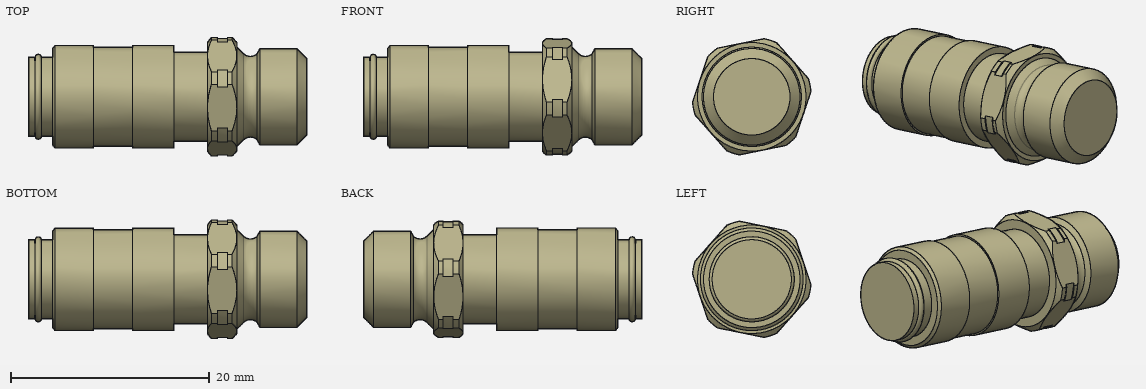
import cadquery as cq
import math


LENGTH = 28.05
TUBE_DIAMETER = 8.0
RING_GROOVE_DIAMETER = 7.3
RING_GROOVE_START = 0.65
RING_GROOVE_WIDTH = 0.67
RING_SECTION_DIAMETER = 0.65

SLEEVE_START = 2.4
SLEEVE_END = 14.65
SLEEVE_DIAMETER = 10.35
SLEEVE_FACE_DIAMETER = 9.73
SLEEVE_CHAMFER_LENGTH = 0.25
BAND_DIAMETER = 10.0
BAND_START = 6.54
BAND_END = 10.5

SHANK_DIAMETER = 9.0

HEX_START = 18.0
HEX_WIDTH = 3.0
HEX_END = HEX_START + HEX_WIDTH
HEX_ACROSS_FLATS = 11.0
HEX_CORNER_DIAMETER = 12.0
HEX_FACE_DIAMETER = 10.95
HEX_FRONT_CHAMFER = 0.42
HEX_REAR_CHAMFER = 0.5
HEX_TURN = -18.5
HEX_GROOVE_START = 19.02
HEX_GROOVE_WIDTH = 1.0
HEX_GROOVE_DIAMETER = 11.78

NECK_DIAMETER = 8.15
NECK_ARC_RADIUS = 1.0
NECK_BOTTOM = 22.35
NECK_CONE_ANGLE = math.radians(45)
NECK_ARC_END = 23.0

PLUG_DIAMETER = 9.73
PLUG_START = 23.3
PLUG_CHAMFER = 1.0


def cylinder(diameter, start, end):
    """Solid cylinder along +X between two X positions."""
    return cq.Workplane("YZ", origin=(start, 0, 0)).circle(diameter / 2).extrude(end - start)


def revolve_about_x(outline):
    """Turn a closed outline drawn in the XY plane about the X axis."""
    return outline.close().revolve(360, (0, 0, 0), (1, 0, 0))


def make_front_tube():
    """Tube and shank ahead of the hexagon, with the ring groove."""
    tube = cylinder(TUBE_DIAMETER, 0, SLEEVE_END)
    groove_end = RING_GROOVE_START + RING_GROOVE_WIDTH
    groove = cylinder(TUBE_DIAMETER, RING_GROOVE_START, groove_end).cut(
        cylinder(RING_GROOVE_DIAMETER, RING_GROOVE_START, groove_end)
    )
    shank = cylinder(SHANK_DIAMETER, SLEEVE_END, HEX_START)
    return tube.cut(groove).union(shank)


def make_hexagon():
    """Hexagon with turned corners, coned ends and a shallow groove round its corners."""
    prism = (
        cq.Workplane("YZ", origin=(HEX_START, 0, 0))
        .polygon(6, HEX_ACROSS_FLATS, circumscribed=True)
        .extrude(HEX_WIDTH)
        .rotate((0, 0, 0), (1, 0, 0), HEX_TURN)
    )
    face_radius = HEX_FACE_DIAMETER / 2
    corner_radius = HEX_CORNER_DIAMETER / 2
    groove_radius = HEX_GROOVE_DIAMETER / 2
    groove_end = HEX_GROOVE_START + HEX_GROOVE_WIDTH
    turned_blank = revolve_about_x(
        cq.Workplane("XY")
        .moveTo(HEX_START, 0)
        .lineTo(HEX_START, face_radius)
        .lineTo(HEX_START + HEX_FRONT_CHAMFER, corner_radius)
        .lineTo(HEX_GROOVE_START, corner_radius)
        .lineTo(HEX_GROOVE_START, groove_radius)
        .lineTo(groove_end, groove_radius)
        .lineTo(groove_end, corner_radius)
        .lineTo(HEX_END - HEX_REAR_CHAMFER, corner_radius)
        .lineTo(HEX_END, face_radius)
        .lineTo(HEX_END, 0)
    )
    return prism.intersect(turned_blank)


def make_rear_plug():
    """Rounded neck and chamfered plug behind the hexagon."""
    plug_radius = PLUG_DIAMETER / 2
    arc_centre_radius = NECK_DIAMETER / 2 + NECK_ARC_RADIUS
    arc_start_x = NECK_BOTTOM - NECK_ARC_RADIUS * math.sin(NECK_CONE_ANGLE)
    arc_start_radius = arc_centre_radius - NECK_ARC_RADIUS * math.cos(NECK_CONE_ANGLE)
    arc_end_radius = arc_centre_radius - math.sqrt(NECK_ARC_RADIUS**2 - (NECK_ARC_END - NECK_BOTTOM) ** 2)
    cone_rise = (arc_start_x - HEX_END) * math.tan(NECK_CONE_ANGLE)
    return revolve_about_x(
        cq.Workplane("XY")
        .moveTo(HEX_END, 0)
        .lineTo(HEX_END, arc_start_radius + cone_rise)
        .lineTo(arc_start_x, arc_start_radius)
        .threePointArc((NECK_BOTTOM, NECK_DIAMETER / 2), (NECK_ARC_END, arc_end_radius))
        .lineTo(PLUG_START, plug_radius)
        .lineTo(LENGTH - PLUG_CHAMFER, plug_radius)
        .lineTo(LENGTH, plug_radius - PLUG_CHAMFER)
        .lineTo(LENGTH, 0)
    )


def make_body():
    return make_front_tube().union(make_hexagon()).union(make_rear_plug())


def make_sleeve():
    """Sleeve bored to fit the tube, with a chamfered front and a shallow band round its middle."""
    bore_radius = TUBE_DIAMETER / 2
    outer_radius = SLEEVE_DIAMETER / 2
    band_radius = BAND_DIAMETER / 2
    return revolve_about_x(
        cq.Workplane("XY")
        .moveTo(SLEEVE_START, bore_radius)
        .lineTo(SLEEVE_START, SLEEVE_FACE_DIAMETER / 2)
        .lineTo(SLEEVE_START + SLEEVE_CHAMFER_LENGTH, outer_radius)
        .lineTo(BAND_START, outer_radius)
        .lineTo(BAND_START, band_radius)
        .lineTo(BAND_END, band_radius)
        .lineTo(BAND_END, outer_radius)
        .lineTo(SLEEVE_END, outer_radius)
        .lineTo(SLEEVE_END, bore_radius)
    )


def make_ring():
    """Round-section ring centred in the groove and resting on its floor."""
    section_radius = RING_SECTION_DIAMETER / 2
    centre_x = RING_GROOVE_START + RING_GROOVE_WIDTH / 2
    centre_radius = RING_GROOVE_DIAMETER / 2 + section_radius
    return (
        cq.Workplane("XY")
        .center(centre_x, centre_radius)
        .circle(section_radius)
        .revolve(360, (0, -centre_radius, 0), (1, -centre_radius, 0))
    )


body = make_body()
sleeve = make_sleeve()
ring = make_ring()

result = cq.Compound.makeCompound([body.val(), sleeve.val(), ring.val()])